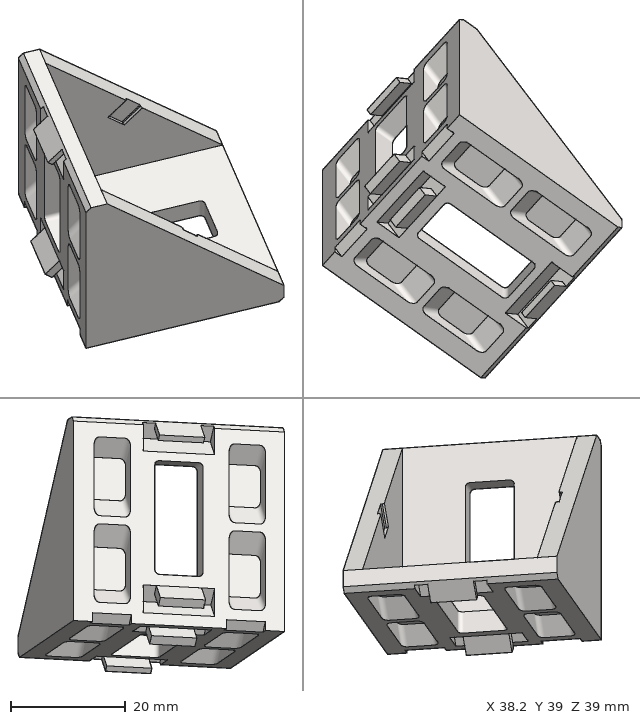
import cadquery as cq
import math


overall = 38.97
width = 38.2
leg = 36.35
plate = 3.9
side_wall = 3.5
end_chamfer = 0.95

slot_length = 20.2
slot_width = 8.73
slot_center = 19.1
slot_radius = 0.85

pocket_depth = 3.2
pocket_width = 6.6
pocket_radius = 1.0
pocket_spacing = 24.45
pocket_shift = 0.15
pocket_spans = [
    (3.45, 17.42, 6.3, 13.87),
    (18.85, 32.85, 22.33, 29.8),
]

relief_width = 7.0
relief_size = 1.55
relief_offset = 12.12

groove_width = 12.9
tab_width = 8.2
outer_groove_rise = 30.75
outer_tab_thickness = 1.15
outer_tab_length = 3.62
inner_groove_rise = 2.03
inner_tab_rise = 6.98
inner_tab_thickness = 1.8

catch_length = 3.6
catch_depth = 4.68
catch_step = 0.3

root2 = math.sqrt(2)


def prism(points, length, center_x=0.0):
    """Extrude a (y, z) outline along X, centered on center_x."""
    solid = cq.Workplane("YZ").polyline(points).close().extrude(length / 2, both=True)
    return solid.translate((center_x, 0, 0))


def swap_y_z(solid):
    """Reflect a solid in the plane Y = Z, from the front plate to the bottom plate."""
    return solid.mirror("XY").rotate((0, 0, 0), (1, 0, 0), 90)


def slanted_block(rise_low, rise_high, reach_low, reach_high, length):
    """Block at 45 degrees, bounded by planes of constant z - y (rise) and z + y (reach)."""
    corners = [
        (rise_low, reach_low),
        (rise_low, reach_high),
        (rise_high, reach_high),
        (rise_high, reach_low),
    ]
    points = [((reach - rise) / 2, (reach + rise) / 2) for rise, reach in corners]
    return prism(points, length)


def make_body():
    outline = [
        (0, 0),
        (0, leg - end_chamfer),
        (end_chamfer, leg),
        (plate, leg),
        (leg, plate),
        (leg, end_chamfer),
        (leg - end_chamfer, 0),
    ]
    cavity = [(plate, plate), (plate, leg), (leg, leg), (leg, plate)]
    return prism(outline, width).cut(prism(cavity, width - 2 * side_wall))


def make_slot():
    box = cq.Workplane("XY").box(slot_width, plate, slot_length)
    return box.edges("|Y").fillet(slot_radius).translate((0, plate / 2, slot_center))


def make_pocket(center_x, span):
    mouth_start, mouth_end, floor_start, floor_end = span
    outline = [
        (0, mouth_start),
        (0, mouth_end),
        (pocket_depth, floor_end),
        (pocket_depth, floor_start),
    ]
    pocket = prism(outline, pocket_width).edges("not (|X or |Z)").fillet(pocket_radius)
    return pocket.translate((center_x, 0, 0))


def make_relief(center_x):
    return prism([(0, 0), (0, relief_size), (relief_size, 0)], relief_width, center_x)


def make_catch(side):
    """Catch recess in one side wall; side is -1 or +1."""
    wall_x = width / 2 - side_wall
    half = catch_length / 2
    outline = [
        (wall_x, -half - catch_step),
        (wall_x + catch_step, -half),
        (wall_x + 2 * catch_step, -half),
        (wall_x + 2 * catch_step, half),
        (wall_x + catch_step, half),
        (wall_x, half + catch_step),
    ]
    points = [(side * x, y) for x, y in outline]
    recess = cq.Workplane("XY").polyline(points).close().extrude(-catch_depth)
    edge_middle = (leg + plate) / 2
    return recess.rotate((0, 0, 0), (1, 0, 0), -45).translate((0, edge_middle, edge_middle))


outer_rise = leg - end_chamfer
outer_groove = slanted_block(outer_groove_rise, outer_rise, outer_groove_rise, leg, groove_width)
outer_tab = slanted_block(
    outer_rise - outer_tab_thickness * root2,
    outer_rise,
    leg - outer_tab_length * root2,
    leg,
    tab_width,
)

inner_tip_reach = inner_tab_rise - 2 * (overall - leg)
inner_groove = slanted_block(
    inner_groove_rise, inner_tab_rise, inner_groove_rise, inner_tab_rise, groove_width
)
inner_tab = slanted_block(
    inner_tab_rise - inner_tab_thickness * root2,
    inner_tab_rise,
    inner_tip_reach,
    inner_tab_rise,
    tab_width,
)

plate_cuts = [make_slot(), outer_groove, inner_groove]
for side in (-1, 1):
    for span in pocket_spans:
        plate_cuts.append(make_pocket(side * pocket_spacing / 2 + pocket_shift, span))

result = make_body()
for cutter in plate_cuts:
    result = result.cut(cutter).cut(swap_y_z(cutter))
for tab in (outer_tab, inner_tab):
    result = result.union(tab).union(swap_y_z(tab))
for side in (-1, 1):
    result = result.cut(make_relief(side * relief_offset)).cut(make_catch(side))